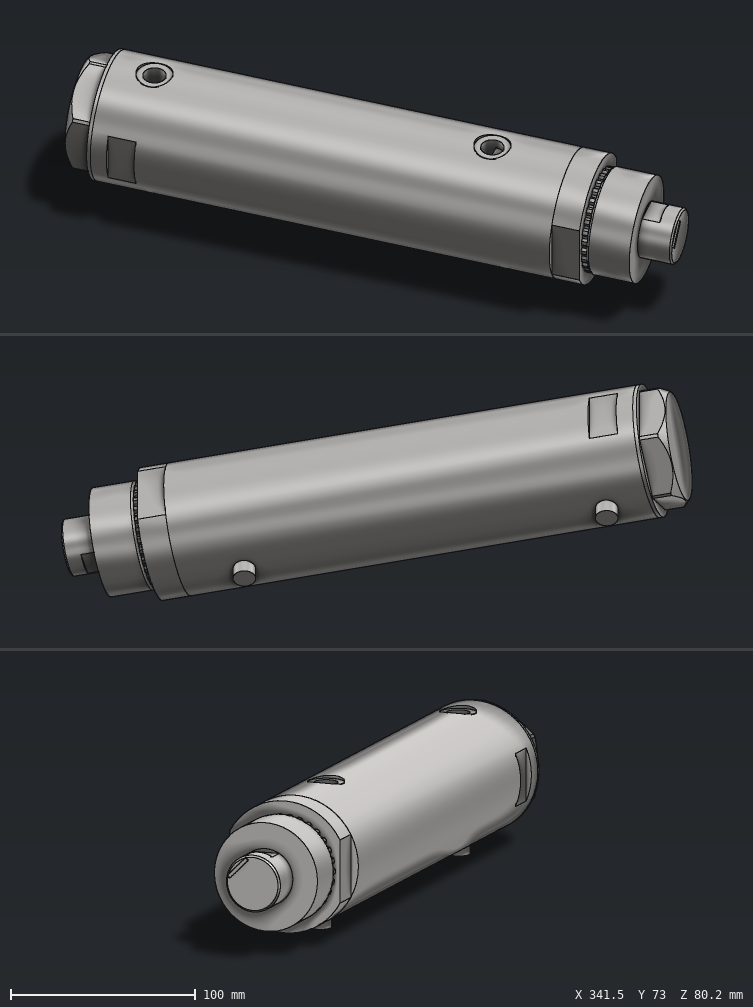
import cadquery as cq
import math


FULL_TURN = 360.0

FLANGE_START = 14.7
TUBE_START = 16.7
TUBE_END = 278.0
GLAND_RING_END = 293.7
COLLAR_START = 296.8
COLLAR_END = 321.5
ROD_FLATS_END = 331.3
ROD_END = 340.5
OVERALL_LENGTH = 341.5
CAP_PORT_X = 41.3
GLAND_PORT_X = 233.5

TUBE_RADIUS = 36.5
BORE_RADIUS = 22.5
GLAND_SEAT_RADIUS = 30.0
TUBE_FLAT_START = 26.0
TUBE_FLAT_END = 41.5
TUBE_FLAT_OFFSET = 33.5
PORT_DIAMETER = 12.5
SPOTFACE_DIAMETER = 20.0
SPOTFACE_DEPTH = 1.7
STUD_POSITIONS = (40.3, 242.0)
STUD_DIAMETER = 12.3
STUD_BOTTOM = -43.7

HEX_SIDES = 6
HEX_ACROSS_FLATS = 60.0
HEX_TURNED_RADIUS = 34.0
HEX_FACE_RADIUS = 29.7
HEX_CHAMFER_ANGLE = 45.0

GLAND_FLAT_OFFSET = 32.0
COLLAR_RADIUS = 30.0
COLLAR_CHAMFER = 1.5
TOOTH_RADIUS = 29.5
TOOTH_ROOT_RADIUS = 28.0
TOOTH_GAP_WIDTH = 4.0
TOOTH_ROOT_WIDTH = 1.5
TOOTH_COUNT = 30

ROD_RADIUS = 15.7
ROD_FLAT_OFFSET = 13.5
ROD_CHAMFER = 1.0
PISTON_LENGTH = 27.3
TIP_BAR_LENGTH = 15.0
TIP_BAR_WIDTH = 2.0
TIP_BAR_DISTANCE = 12.0
TIP_BAR_ANGLE = 45.0


def disc(start, end, radius):
    """Cylinder on the X axis between two stations."""
    return cq.Workplane("YZ", origin=(start, 0, 0)).circle(radius).extrude(end - start)


def side_flats(start, end, offset, radius, axis):
    """Two slabs that lie beyond +offset and -offset on the given axis ("Y" or "Z")."""
    length = end - start
    width = 2 * radius
    slabs = cq.Workplane("XY")
    for side in (-1, 1):
        center = side * (offset + radius / 2)
        if axis == "Y":
            slab = cq.Workplane("XY").box(length, radius, width)
            slab = slab.translate((start + length / 2, center, 0))
        else:
            slab = cq.Workplane("XY").box(length, width, radius)
            slab = slab.translate((start + length / 2, 0, center))
        slabs = slabs.add(slab)
    return slabs.combine()


def make_tube():
    tube = disc(TUBE_START, TUBE_END, TUBE_RADIUS)

    for x in STUD_POSITIONS:
        stud = cq.Workplane("XY", origin=(x, 0, STUD_BOTTOM))
        stud = stud.circle(STUD_DIAMETER / 2).extrude(-STUD_BOTTOM)
        tube = tube.union(stud)

    tube = tube.cut(disc(TUBE_START, TUBE_END, BORE_RADIUS))
    tube = tube.cut(disc(GLAND_PORT_X, TUBE_END, GLAND_SEAT_RADIUS))

    tube = tube.cut(side_flats(TUBE_FLAT_START, TUBE_FLAT_END, TUBE_FLAT_OFFSET, TUBE_RADIUS, "Y"))

    for x in (CAP_PORT_X, GLAND_PORT_X):
        hole = cq.Workplane("XY", origin=(x, 0, 0)).circle(PORT_DIAMETER / 2).extrude(TUBE_RADIUS)
        seat = cq.Workplane("XY", origin=(x, 0, TUBE_RADIUS - SPOTFACE_DEPTH))
        seat = seat.circle(SPOTFACE_DIAMETER / 2).extrude(SPOTFACE_DEPTH)
        tube = tube.cut(hole).cut(seat)
    return tube


def make_end_cap():
    corner_radius = HEX_ACROSS_FLATS / 2 / math.cos(math.pi / HEX_SIDES)
    hexagon = cq.Workplane("YZ").polygon(HEX_SIDES, 2 * corner_radius).extrude(FLANGE_START)
    hexagon = hexagon.rotate((0, 0, 0), (1, 0, 0), FULL_TURN / HEX_SIDES / 2)
    chamfer_depth = (HEX_TURNED_RADIUS - HEX_FACE_RADIUS) * math.tan(math.radians(HEX_CHAMFER_ANGLE))
    turned_profile = [
        (0, 0),
        (0, HEX_FACE_RADIUS),
        (chamfer_depth, HEX_TURNED_RADIUS),
        (FLANGE_START, HEX_TURNED_RADIUS),
        (FLANGE_START, 0),
    ]
    turned_blank = cq.Workplane("XY").polyline(turned_profile).close()
    turned_blank = turned_blank.revolve(FULL_TURN, (0, 0, 0), (1, 0, 0))

    cap = hexagon.intersect(turned_blank)
    cap = cap.union(disc(FLANGE_START, TUBE_START, TUBE_RADIUS))
    return cap.union(disc(TUBE_START, CAP_PORT_X, BORE_RADIUS))


def make_toothed_ring():
    ring = disc(GLAND_RING_END, COLLAR_START, TOOTH_RADIUS)

    flare = (TOOTH_GAP_WIDTH - TOOTH_ROOT_WIDTH) / (TOOTH_RADIUS - TOOTH_ROOT_RADIUS)
    mouth_width = TOOTH_ROOT_WIDTH + flare * (COLLAR_RADIUS - TOOTH_ROOT_RADIUS)
    gap_outline = [
        (-TOOTH_ROOT_WIDTH / 2, TOOTH_ROOT_RADIUS),
        (TOOTH_ROOT_WIDTH / 2, TOOTH_ROOT_RADIUS),
        (mouth_width / 2, COLLAR_RADIUS),
        (-mouth_width / 2, COLLAR_RADIUS),
    ]
    gap = cq.Workplane("YZ", origin=(GLAND_RING_END, 0, 0)).polyline(gap_outline).close()
    gap = gap.extrude(COLLAR_START - GLAND_RING_END)
    for i in range(TOOTH_COUNT):
        ring = ring.cut(gap.rotate((0, 0, 0), (1, 0, 0), i * FULL_TURN / TOOTH_COUNT))
    return ring


def make_gland():
    flanged_ring = disc(TUBE_END, GLAND_RING_END, TUBE_RADIUS)
    flanged_ring = flanged_ring.cut(
        side_flats(TUBE_END, GLAND_RING_END, GLAND_FLAT_OFFSET, TUBE_RADIUS, "Y")
    )
    collar = disc(COLLAR_START, COLLAR_END, COLLAR_RADIUS).faces("<X").chamfer(COLLAR_CHAMFER)

    gland = disc(GLAND_PORT_X, TUBE_END, GLAND_SEAT_RADIUS)
    gland = gland.union(flanged_ring).union(make_toothed_ring()).union(collar)
    return gland.cut(disc(GLAND_PORT_X, COLLAR_END, ROD_RADIUS))


def make_piston_rod():
    rod = disc(CAP_PORT_X, ROD_END, ROD_RADIUS).faces(">X").chamfer(ROD_CHAMFER)
    rod = rod.union(disc(CAP_PORT_X, CAP_PORT_X + PISTON_LENGTH, BORE_RADIUS))
    rod = rod.cut(side_flats(COLLAR_END, ROD_FLATS_END, ROD_FLAT_OFFSET, ROD_RADIUS, "Z"))

    bar = cq.Workplane("YZ", origin=(ROD_END, 0, 0)).center(0, TIP_BAR_DISTANCE)
    bar = bar.rect(TIP_BAR_LENGTH, TIP_BAR_WIDTH).extrude(OVERALL_LENGTH - ROD_END)
    return rod.union(bar.rotate((0, 0, 0), (1, 0, 0), TIP_BAR_ANGLE))


tube = make_tube()
end_cap = make_end_cap()
gland = make_gland()
piston_rod = make_piston_rod()

result = cq.Compound.makeCompound([tube.val(), end_cap.val(), gland.val(), piston_rod.val()])